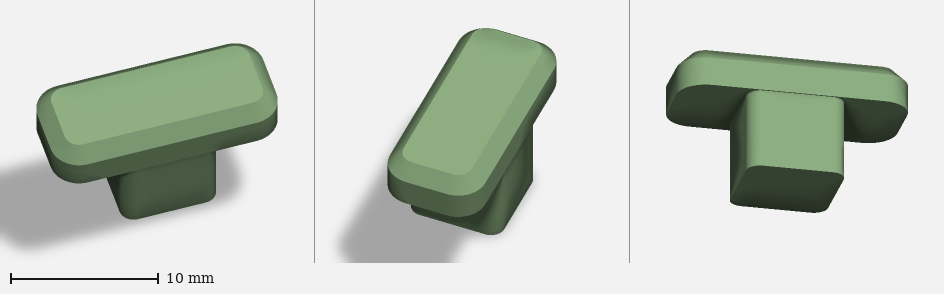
import cadquery as cq

head_length = 16.0
head_width = 7.0
head_height = 3.0
head_corner_radius = 2.0
head_bevel = 1.0

stem_side = 6.8
stem_height = 5.6
stem_corner_radius = 1.0


def rounded_block(size_x, size_y, height, corner_radius):
    """Block standing on Z = 0 with its upright edges rounded."""
    block = cq.Workplane("XY").rect(size_x, size_y).extrude(height)
    return block.edges("|Z").fillet(corner_radius)


stem = rounded_block(stem_side, stem_side, stem_height, stem_corner_radius)

head = rounded_block(head_width, head_length, head_height, head_corner_radius)
head = head.faces(">Z").edges().chamfer(head_bevel)
head = head.translate((0, 0, stem_height))

result = stem.union(head)